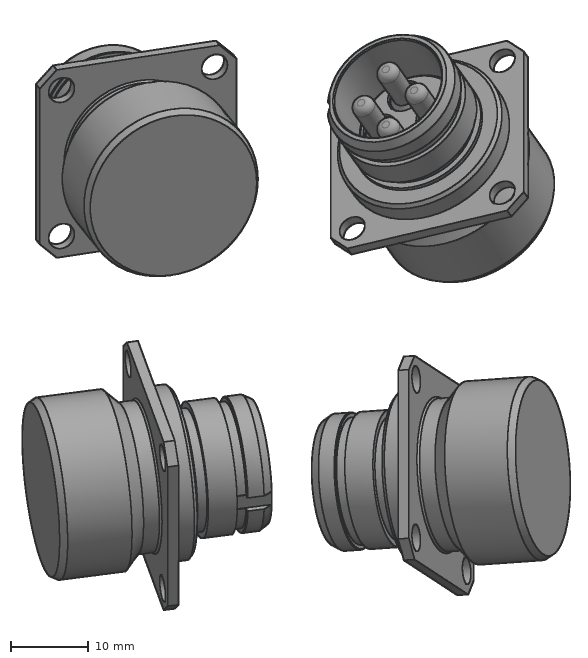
import cadquery as cq
import math


length = 28.8
nose_chamfer_end = 1.18
ring_groove_start = 3.43
ring_rear_chamfer = 0.12
ring_groove_end = 4.75
rear_groove_start = 8.58
rear_groove_end = 10.0
collar_start = 10.5
collar_chamfer = 0.45
flange_start = 13.5
flange_thickness = 1.47
relief_length = 0.3
neck_end = 17.37
barrel_start = 19.32
barrel_chamfer_length = 0.95

nose_radius = 8.93
nose_tip_radius = 8.25
ring_groove_radius = 8.3
rear_groove_radius = 8.1
collar_radius = 11.5
relief_radius = 10.17
neck_radius = 9.95
barrel_radius = 11.92
barrel_chamfer = 0.52

flange_side = 27.0
flange_corner_cut = 2.33
hole_offset = 10.48
hole_radius = 1.75

notch_width = 2.1
notch_floor = 8.12

mouth_radius = 7.65
mouth_chamfer = 0.17
bore_end_radius = 7.37
insert_face = 8.05
insert_edge_chamfer = 0.32

pin_centres = [(4.4, 0.0), (-3.0, 0.0), (0.95, 4.38), (0.95, -4.38)]
pin_tip = 1.6
pin_radius = 1.53
pin_tip_flat = 0.52
pin_base_radius = 2.15
pin_base_height = 0.63
pin_pocket_radius = 2.33
pin_pocket_depth = 0.58


def revolve_about_x(points):
    """Solid of revolution from an (X, radius) outline closed along the X axis."""
    return cq.Workplane("XY").polyline(points).close().revolve(360, (0, 0, 0), (1, 0, 0))


def make_shell():
    flange_end = flange_start + flange_thickness
    return revolve_about_x([
        (0, 0),
        (0, nose_tip_radius),
        (nose_chamfer_end, nose_radius),
        (ring_groove_start - ring_rear_chamfer, nose_radius),
        (ring_groove_start, nose_radius - ring_rear_chamfer),
        (ring_groove_start, ring_groove_radius),
        (ring_groove_end, ring_groove_radius),
        (ring_groove_end, nose_radius),
        (rear_groove_start, nose_radius),
        (rear_groove_start, rear_groove_radius),
        (rear_groove_end, rear_groove_radius),
        (rear_groove_end, nose_radius),
        (collar_start, nose_radius),
        (collar_start, collar_radius - collar_chamfer),
        (collar_start + collar_chamfer, collar_radius),
        (flange_end, collar_radius),
        (flange_end, relief_radius),
        (flange_end + relief_length, neck_radius),
        (neck_end, neck_radius),
        (barrel_start, barrel_radius),
        (length - barrel_chamfer_length, barrel_radius),
        (length, barrel_radius - barrel_chamfer),
        (length, 0),
    ])


def make_flange():
    hole_pitch = 2 * hole_offset
    return (
        cq.Workplane("YZ", origin=(flange_start, 0, 0))
        .rect(flange_side, flange_side)
        .extrude(flange_thickness)
        .edges("|X")
        .chamfer(flange_corner_cut)
        .faces("<X")
        .workplane(centerOption="CenterOfBoundBox")
        .rect(hole_pitch, hole_pitch, forConstruction=True)
        .vertices()
        .hole(2 * hole_radius)
    )


def make_socket():
    """Tapered cavity whose floor is the insert face with a chamfered rim."""
    return revolve_about_x([
        (0, 0),
        (0, mouth_radius),
        (mouth_chamfer, mouth_radius - mouth_chamfer),
        (insert_face + insert_edge_chamfer, bore_end_radius),
        (insert_face, bore_end_radius - insert_edge_chamfer),
        (insert_face, 0),
    ])


def make_notch():
    depth = nose_radius - notch_floor
    return (
        cq.Workplane("XY")
        .box(ring_groove_end, depth, notch_width, centered=(False, False, True))
        .translate((0, notch_floor, 0))
    )


def make_pin_pocket():
    return (
        cq.Workplane("YZ", origin=(insert_face, 0, 0))
        .circle(pin_pocket_radius)
        .extrude(pin_pocket_depth)
    )


def make_pin():
    tip_rounding = pin_radius - pin_tip_flat
    arc_middle = tip_rounding * math.sin(math.radians(45))
    base = insert_face + pin_pocket_depth
    outline = (
        cq.Workplane("XY")
        .moveTo(pin_tip, 0)
        .lineTo(pin_tip, pin_tip_flat)
        .threePointArc(
            (pin_tip + tip_rounding - arc_middle, pin_tip_flat + arc_middle),
            (pin_tip + tip_rounding, pin_radius),
        )
        .lineTo(base - pin_base_height, pin_radius)
        .lineTo(base, pin_base_radius)
        .lineTo(base, 0)
        .close()
    )
    return outline.revolve(360, (0, 0, 0), (1, 0, 0))


result = make_shell().union(make_flange()).cut(make_socket()).cut(make_notch())

for y, z in pin_centres:
    result = result.cut(make_pin_pocket().translate((0, y, z)))
    result = result.union(make_pin().translate((0, y, z)))